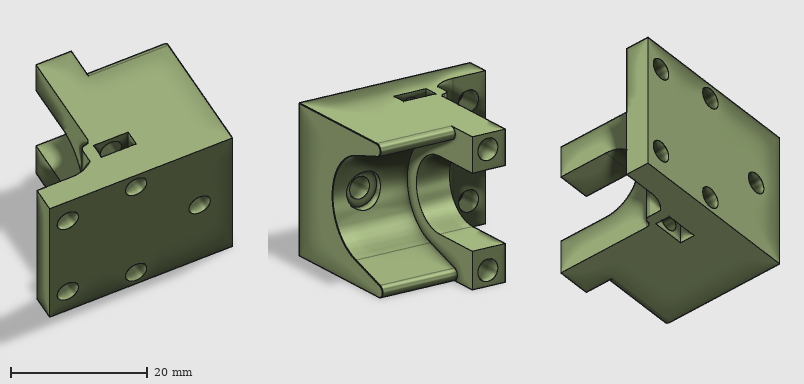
import cadquery as cq
import math

length_x = 26.0
length_y = 30.25
height = 24.0
half_height = height / 2

arm_front_y = 11.2
arm_back_y = 17.05
flange_thickness = 4.05
flange_inner_x = length_x - flange_thickness

step_start_x = 16.4
step_width = 1.82
step_drop = 1.65
step_end_x = step_start_x + step_width
step_y = arm_front_y - step_drop
flange_blend_radius = 5.57
flange_blend_start_x = 20.43
flange_blend_center_x = flange_inner_x - flange_blend_radius
flange_blend_end_y = step_y - math.sqrt(
    flange_blend_radius**2 - (flange_blend_start_x - flange_blend_center_x) ** 2
)

bore_z = 0.18
slot_radius = 6.1
slot_depth = 14.75
bore_x = slot_depth - slot_radius

back_chamfer = 0.1
lip_radius = 1.03
upper_lip_center_x = 5.5
lower_lip_center_x = 4.95
lip_flank_angle = math.radians(17)
trough_radius = 8.5
trough_half_width = 8.17

hole_diameter = 3.5
arm_hole_y = 14.28
arm_hole_z = 9.47
flange_hole_y = 3.0
flange_hole_z = 7.8
cradle_hole_y = 24.78
counterbore_diameter = 6.0
counterbore_floor_x = 18.15

nut_pocket_x = 17.95
nut_thickness = 2.57
nut_width = 5.7
nut_pocket_depth = half_height - arm_hole_z + nut_width / 2


def make_arm_and_flange():
    """Full-height body in plan: arm plate, S-shaped step, curved blend and flange."""
    step_middle_x = step_start_x + step_width / 2
    step_middle_y = arm_front_y - step_drop / 2
    blend_sweep = math.atan2(
        step_y - flange_blend_end_y, flange_blend_start_x - flange_blend_center_x
    )
    blend_mid_angle = blend_sweep / 2
    blend_middle = (
        flange_blend_center_x + flange_blend_radius * math.cos(blend_mid_angle),
        flange_blend_end_y + flange_blend_radius * math.sin(blend_mid_angle),
    )
    return (
        cq.Workplane("XY", origin=(0, 0, -half_height))
        .moveTo(0, arm_back_y)
        .lineTo(0, arm_front_y)
        .lineTo(step_start_x, arm_front_y)
        .tangentArcPoint((step_middle_x, step_middle_y), relative=False)
        .threePointArc(
            (
                step_end_x - step_width / 2 * math.sqrt(0.5),
                step_y + step_drop / 2 * (1 - math.sqrt(0.5)),
            ),
            (step_end_x, step_y),
        )
        .lineTo(flange_blend_start_x, step_y)
        .threePointArc(blend_middle, (flange_inner_x, flange_blend_end_y))
        .lineTo(flange_inner_x, 0)
        .lineTo(length_x, 0)
        .lineTo(length_x, arm_back_y)
        .close()
        .extrude(height)
    )


def make_cradle():
    """Block with rounded lips and flared flanks leading into a round trough."""
    lip_center_z = half_height - lip_radius
    lip_inner_offset_x = lip_radius * math.sin(lip_flank_angle)
    lip_inner_z = lip_center_z - lip_radius * math.cos(lip_flank_angle)
    trough_start_x = bore_x + math.sqrt(trough_radius**2 - trough_half_width**2)
    return (
        cq.Workplane("XZ", origin=(0, length_y, 0))
        .moveTo(length_x, half_height)
        .lineTo(upper_lip_center_x, half_height)
        .threePointArc(
            (upper_lip_center_x - lip_radius, lip_center_z),
            (upper_lip_center_x - lip_inner_offset_x, lip_inner_z),
        )
        .lineTo(trough_start_x, bore_z + trough_half_width)
        .threePointArc(
            (bore_x + trough_radius, bore_z),
            (trough_start_x, bore_z - trough_half_width),
        )
        .lineTo(lower_lip_center_x - lip_inner_offset_x, -lip_inner_z)
        .threePointArc(
            (lower_lip_center_x - lip_radius, -lip_center_z),
            (lower_lip_center_x, -half_height),
        )
        .lineTo(length_x, -half_height)
        .close()
        .extrude(length_y - arm_back_y)
        .faces(">Y")
        .chamfer(back_chamfer)
    )


def make_slot():
    """Round-ended slot through the arm plate, open toward -X."""
    return (
        cq.Workplane("XZ", origin=(0, arm_back_y, 0))
        .moveTo(0, bore_z + slot_radius)
        .lineTo(bore_x, bore_z + slot_radius)
        .threePointArc((slot_depth, bore_z), (bore_x, bore_z - slot_radius))
        .lineTo(0, bore_z - slot_radius)
        .close()
        .extrude(arm_back_y - arm_front_y)
    )


def cylinder_along_x(diameter, y, z, end_x):
    """Cutter running from X = 0 to end_x, centred at (y, z)."""
    return cq.Workplane("YZ").center(y, z).circle(diameter / 2).extrude(end_x)


def make_nut_pocket(side):
    """Pocket entering from the top (side = 1) or bottom (side = -1) face."""
    return cq.Workplane("XY").box(nut_thickness, nut_width, nut_pocket_depth).translate(
        (
            nut_pocket_x + nut_thickness / 2,
            arm_hole_y,
            side * (half_height - nut_pocket_depth / 2),
        )
    )


result = make_arm_and_flange().union(make_cradle()).cut(make_slot())

for side in (1, -1):
    result = result.cut(cylinder_along_x(hole_diameter, arm_hole_y, side * arm_hole_z, length_x))
    result = result.cut(cylinder_along_x(hole_diameter, flange_hole_y, side * flange_hole_z, length_x))
    result = result.cut(make_nut_pocket(side))

result = result.cut(cylinder_along_x(hole_diameter, cradle_hole_y, 0, length_x))
result = result.cut(cylinder_along_x(counterbore_diameter, cradle_hole_y, 0, counterbore_floor_x))